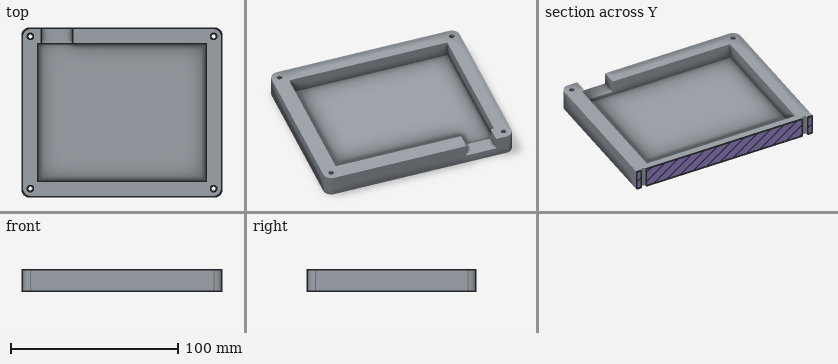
import cadquery as cq

length = 119.5
width = 101.0
height = 13.0
corner_radius = 5.0

pocket_length = 100.5
pocket_width = 82.0
pocket_depth = 10.0
rear_wall = (width - pocket_width) / 2

hole_diameter = 3.3

notch_start = 11.5
notch_width = 18.9
notch_depth = 7.5


def make_block():
    """Plain block with rounded vertical corners, standing on Z = 0."""
    block = cq.Workplane("XY").box(length, width, height, centered=(True, True, False))
    return block.edges("|Z").fillet(corner_radius)


def cut_pocket(body):
    """Sink the rectangular pocket from the top face."""
    return (
        body.faces(">Z")
        .workplane(origin=(0, 0, height))
        .rect(pocket_length, pocket_width)
        .cutBlind(-pocket_depth)
    )


def cut_notch(body):
    """Open the +Y wall between the pocket and the outside."""
    cutter = cq.Workplane("XY").box(notch_width, rear_wall, notch_depth, centered=False)
    corner = (notch_start - length / 2, width / 2 - rear_wall, height - notch_depth)
    return body.cut(cutter.translate(corner))


def cut_corner_holes(body):
    """Drill one hole through the full height at each corner."""
    drills = (
        cq.Workplane("XY")
        .rect(length - 2 * corner_radius, width - 2 * corner_radius, forConstruction=True)
        .vertices()
        .circle(hole_diameter / 2)
        .extrude(height)
    )
    return body.cut(drills)


def make_housing():
    """Tray with a pocket, a wall notch and four corner holes."""
    housing = cut_pocket(make_block())
    housing = cut_notch(housing)
    return cut_corner_holes(housing)


housing = make_housing()

result = cq.Compound.makeCompound([housing.val()])